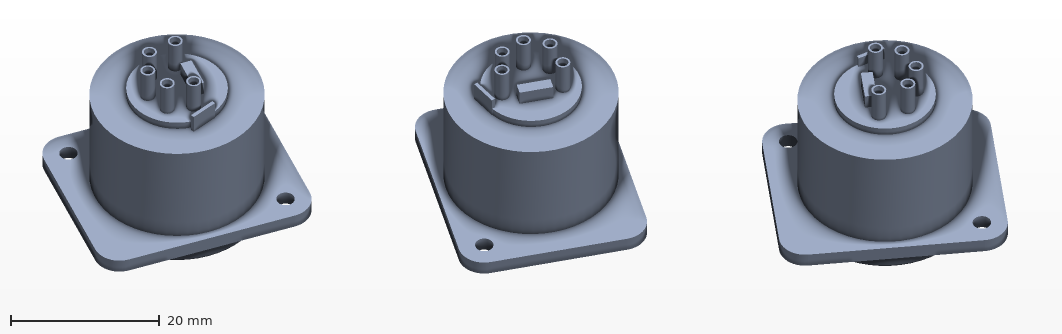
import cadquery as cq

plate_width = 26.0
plate_length = 31.0
plate_thickness = 2.0
plate_bottom = 2.7
plate_corner_radius = 3.5
screw_hole_diameter = 2.48
screw_hole_x = 9.5
screw_hole_y = 12.0

body_diameter = 23.62
body_top = 19.8
body_bottom_fillet = 0.45
insert_diameter = 13.7
insert_top = 20.92

pin_diameter = 2.0
pin_bore_diameter = 1.5
pin_top = 25.6
pin_centers = [(-4.1, 1.33), (-3.32, -2.7), (0, -4.22), (3.32, -2.7), (4.22, 0.78)]

key_width = 4.68
key_depth = 1.6
key_center_y = 2.2
key_top = 22.97

tab_length = 3.97
tab_thickness = 0.53
tab_angle = 22.7
tab_center = (6.73, 1.15)
tab_top = 22.5


def cylinder(diameter, bottom, top):
    return cq.Workplane("XY").workplane(offset=bottom).circle(diameter / 2).extrude(top - bottom)


def block(size_x, size_y, bottom, top):
    return cq.Workplane("XY").workplane(offset=bottom).rect(size_x, size_y).extrude(top - bottom)


def make_plate():
    plate = block(plate_width, plate_length, plate_bottom, plate_bottom + plate_thickness)
    plate = plate.edges("|Z").fillet(plate_corner_radius)
    holes = [(screw_hole_x, screw_hole_y), (-screw_hole_x, -screw_hole_y)]
    return plate.faces(">Z").workplane(origin=(0, 0, 0)).pushPoints(holes).hole(screw_hole_diameter)


def make_body():
    body = cylinder(body_diameter, 0, body_top)
    return body.faces("<Z").edges().fillet(body_bottom_fillet)


def make_pin(center_x, center_y):
    pin = cylinder(pin_diameter, insert_top, pin_top)
    bore = cylinder(pin_bore_diameter, insert_top, pin_top)
    return pin.cut(bore).translate((center_x, center_y, 0))


def make_key():
    return block(key_width, key_depth, insert_top, key_top).translate((0, key_center_y, 0))


def make_tab():
    tab = block(tab_thickness, tab_length, body_top, tab_top)
    tab = tab.rotate((0, 0, 0), (0, 0, 1), tab_angle)
    return tab.translate((*tab_center, 0))


result = make_plate().union(make_body())
result = result.union(cylinder(insert_diameter, body_top, insert_top))
for pin_x, pin_y in pin_centers:
    result = result.union(make_pin(pin_x, pin_y))
result = result.union(make_key()).union(make_tab())